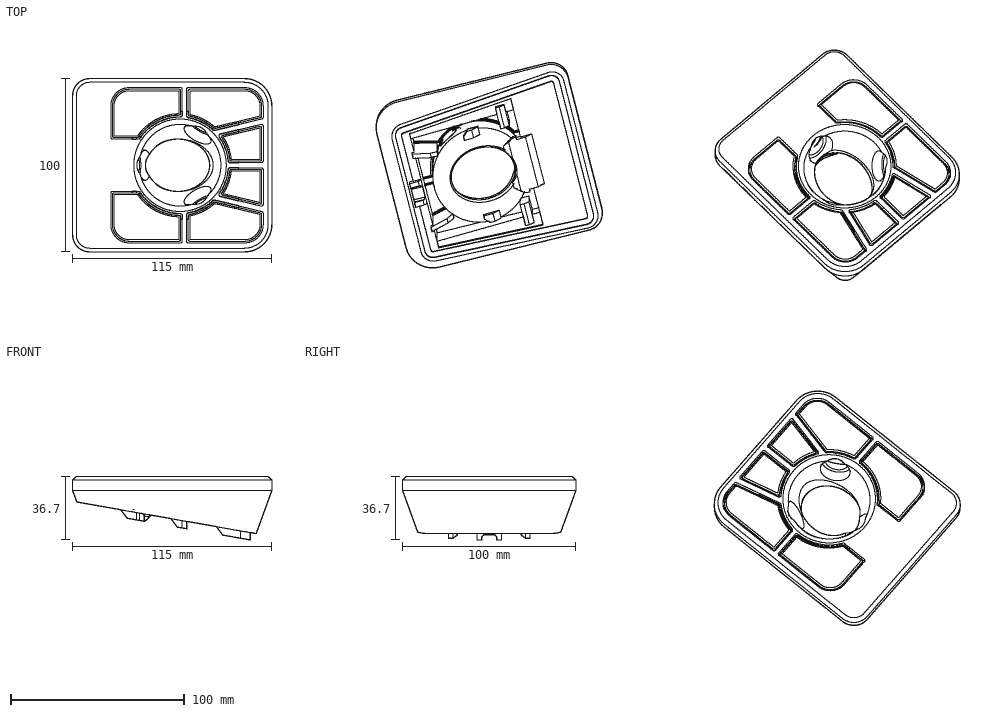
import cadquery as cq
import math

LENGTH = 115.0
WIDTH = 100.0
HEIGHT = 36.7
LEFT_CORNER_R = 10.0
RIGHT_CORNER_R = 16.0
TOP_CHAMFER = 2.2
BAND_DEPTH = 8.0
DRAFT = 20.0
DRAFTED_HEIGHT = 25.9
UNDERSIDE_ANGLE = 10.0
UNDERSIDE_MID_Z = -24.5
SLOPE = math.tan(math.radians(UNDERSIDE_ANGLE))

SKIN = 3.5
CAVITY_X0 = -23.0
CAVITY_X1 = 38.1
CAVITY_WIDTH = 62.1
LEDGE_LEFT_WIDTH = 76.6
LEDGE_RIGHT_WIDTH = 69.0
LEDGE_DEPTH = 2.8
FLANK_RIB_X0 = -18.4
FLANK_RIB_X1 = -13.2
FLANK_RIB_LEAD = 2.9
FLANK_RIB_Y0 = 23.0
FLANK_RIB_Y1 = 35.6
FLANK_RIB_BOTTOM = -23.0

RIM_LEFT_X = -54.5
RIM_RIGHT_X = 48.3
RIM_LEFT_WIDTH = 95.0
RIM_RIGHT_WIDTH = 81.9
GROOVE_INSET = 2.1
GROOVE_WIDTH = 3.5
GROOVE_DEPTH = 1.5
GROOVE_CORNER_R = 6.9

BOWL_X = 4.5
BOSS_R = 27.5
BOWL_RIM_R = 26.7
BOWL_RIM_DEPTH = 2.3
BOWL_R = 23.7
BOWL_MOUTH_R = math.sqrt(BOWL_R**2 - BOWL_RIM_DEPTH**2)
OPENING_X = 2.5
OPENING_HALF_LENGTH = 18.9
OPENING_HALF_WIDTH = 15.1
OPENING_RISE = 15.0
OPENING_DROP = 6.9
OPENING_FLARE = 1.2
OPENING_FLARE_DEPTH = 2.3
BORE_D = 12.9
COUNTERBORE_D = 17.4
BORE_ORIGIN_Z = -1.7
BORE_TILT = 19.5
COUNTERBORE_REACH = 27.0
BORE_REACH = 33.4
BORE_ANGLES = (60, 180, 300)

SLIT_WIDTH = 0.9
SLIT_DEPTH = 4.0
PAD_BEVEL = 0.9
PAD_CORNER_R = 0.98
PAD_BIG_R = 10.6
PAD_ARC_R = 28.0
PAD_Y_MAX = 44.7
BACK_PAD_X0 = -35.4
BACK_PAD_X1 = 5.8
BACK_PAD_Y0 = 15.1
FRONT_PAD_X0 = 8.3
FRONT_PAD_X1 = 52.4
CENTRE_BAR_HALF = 1.5
SPOKE_ANGLE = 13.5
SPOKE_Y = 12.8
SPOKE_WIDTH = 3.0

HOOK_DEPTH = 4.3
HOOK_ROOT = 2.3
HOOK_LEAD = 3.7
TONGUE_X0 = -29.7
TONGUE_X1 = -15.9
TONGUE_TAIL_X0 = -20.7
TONGUE_TAIL_X1 = -12.2
TONGUE_HALF = 15.1
TONGUE_TAIL_HALF = 16.6
TONGUE_TAPER_X = -18.7
TONGUE_END_HALF = 12.6
BOSS_HOOK_X0 = -0.8
BOSS_HOOK_X1 = 8.4
BOSS_HOOK_Y0 = 22.9
BOSS_HOOK_Y1 = 27.6
BOSS_HOOK_CHAMFER = 2.8
SPOKE_HOOK_X0 = 25.4
SPOKE_HOOK_X1 = 39.3
SPOKE_HOOK_WIDTH = 2.5
FORK_X0 = 38.1
FORK_LEAD = 1.7
FORK_LEAD_Z = -33.5
FORK_X1 = 45.0
FORK_HALF = 7.1
FORK_LEG = 2.9
FORK_WEB_BOTTOM = -33.7
FORK_GAP_CHAMFER = 1.2

FAR = 230.0


def underside_z(x):
    return UNDERSIDE_MID_Z - SLOPE * x


def box(x0, x1, y0, y1, z0, z1):
    return cq.Workplane("XY").box(x1 - x0, y1 - y0, z1 - z0, centered=False).translate((x0, y0, z0))


def prism_xz(points, y0, y1):
    """Extrude an X-Z outline from y0 to y1."""
    return cq.Workplane("XZ", origin=(0, y0, 0)).polyline(points).close().extrude(y0 - y1)


def trapezoid(x0, x1, width0, width1):
    """Plan outline symmetric about the X axis, width0 wide at x0 and width1 at x1."""
    corners = [(x0, -width0 / 2), (x1, -width1 / 2), (x1, width1 / 2), (x0, width0 / 2)]
    return cq.Workplane("XY").polyline(corners).close()


def both_sides(solid):
    """A solid together with its mirror image across the X-Z plane."""
    return solid.union(solid.mirror("XZ"))


def below_underside(rise=0.0):
    """Everything below the underside plane raised by `rise`."""
    points = [
        (-FAR, underside_z(-FAR) + rise),
        (FAR, underside_z(FAR) + rise),
        (FAR, -2 * FAR),
        (-FAR, -2 * FAR),
    ]
    return prism_xz(points, -FAR, FAR)


def bowl_cylinder(radius, depth):
    return cq.Workplane("XY").center(BOWL_X, 0).circle(radius).extrude(-depth)


def make_body():
    band = cq.Workplane("XY").rect(LENGTH, WIDTH).extrude(-BAND_DEPTH)
    band = band.edges("|Z and <X").fillet(LEFT_CORNER_R)
    band = band.edges("|Z and >X").fillet(RIGHT_CORNER_R)
    drafted = band.faces("<Z").wires().toPending().workplane().extrude(
        DRAFTED_HEIGHT, taper=DRAFT, combine=False
    )
    band = band.faces(">Z").chamfer(TOP_CHAMFER)
    return band.union(drafted).cut(below_underside())


def make_cavity():
    """Deep pocket up to the top skin, with a wider shallow ledge; the boss stays solid."""
    half = CAVITY_WIDTH / 2
    deep = box(CAVITY_X0, CAVITY_X1, -half, half, -FAR, -SKIN)
    ledge = trapezoid(CAVITY_X0, CAVITY_X1, LEDGE_LEFT_WIDTH, LEDGE_RIGHT_WIDTH).extrude(-FAR)
    ledge = ledge.intersect(below_underside(LEDGE_DEPTH))
    return deep.union(ledge).cut(bowl_cylinder(BOSS_R, FAR))


def make_rim_groove():
    def inset(distance):
        plan = trapezoid(RIM_LEFT_X, RIM_RIGHT_X, RIM_LEFT_WIDTH, RIM_RIGHT_WIDTH).offset2D(-distance)
        return plan.extrude(-FAR).edges("|Z").fillet(GROOVE_CORNER_R - distance)

    ring = inset(GROOVE_INSET).cut(inset(GROOVE_INSET + GROOVE_WIDTH))
    return ring.intersect(below_underside(GROOVE_DEPTH))


def make_bowl():
    """Conical rim, spherical bowl and the elliptical opening square to the underside."""
    rim = (
        cq.Workplane("XY").center(BOWL_X, 0).circle(BOWL_RIM_R)
        .workplane(offset=-BOWL_RIM_DEPTH).circle(BOWL_MOUTH_R).loft()
    )
    sphere = cq.Workplane("XY").sphere(BOWL_R).translate((BOWL_X, 0, 0))
    sphere = sphere.intersect(box(-FAR, FAR, -FAR, FAR, -FAR, -BOWL_RIM_DEPTH))
    tilt = math.radians(UNDERSIDE_ANGLE)
    underside = cq.Plane(
        origin=(OPENING_X, 0, underside_z(OPENING_X)),
        xDir=(math.cos(tilt), 0, -math.sin(tilt)),
        normal=(math.sin(tilt), 0, math.cos(tilt)),
    )
    opening = (
        cq.Workplane(underside).workplane(offset=-OPENING_DROP)
        .ellipse(OPENING_HALF_LENGTH, OPENING_HALF_WIDTH).extrude(OPENING_DROP + OPENING_RISE)
    )
    flare = (
        cq.Workplane(underside)
        .ellipse(OPENING_HALF_LENGTH + OPENING_FLARE, OPENING_HALF_WIDTH + OPENING_FLARE)
        .workplane(offset=OPENING_FLARE_DEPTH)
        .ellipse(OPENING_HALF_LENGTH, OPENING_HALF_WIDTH).loft()
    )
    return rim.union(sphere).union(opening).union(flare)


def make_bores():
    tilt = math.radians(BORE_TILT)
    bores = cq.Workplane("XY")
    for angle in BORE_ANGLES:
        turn = math.radians(angle)
        direction = (
            math.cos(tilt) * math.cos(turn),
            math.cos(tilt) * math.sin(turn),
            -math.sin(tilt),
        )
        axis = cq.Plane(origin=(BOWL_X, 0, BORE_ORIGIN_Z), normal=direction)
        bores = bores.union(cq.Workplane(axis).circle(COUNTERBORE_D / 2).extrude(COUNTERBORE_REACH))
        bores = bores.union(cq.Workplane(axis).circle(BORE_D / 2).extrude(BORE_REACH))
    return bores


def spoke(width, x0, x1, z0, z1):
    """Bar of the given width along the slanted centreline between the front pads."""
    bar = box(-FAR, FAR, -width / 2, width / 2, z0, z1)
    bar = bar.rotate((0, 0, 0), (0, 0, 1), SPOKE_ANGLE).translate((0, SPOKE_Y, 0))
    return bar.intersect(box(x0, x1, -FAR, FAR, z0, z1))


def rounded(pad, big_corner, big_radius):
    """Round a pad's upright edges; one corner may take a larger radius."""
    if not big_corner:
        return pad.edges("|Z").fillet(PAD_CORNER_R)
    pad = pad.edges(f"|Z and (not ({big_corner}))").fillet(PAD_CORNER_R)
    return pad.edges(big_corner).fillet(big_radius)


def slit_around(pad, big_corner=None):
    """Slit between a pad-shaped pocket and the bevelled pad standing in it."""
    outline = pad.faces(">Z").wires().val()
    island = cq.Workplane("XY").add(outline.offset2D(-SLIT_WIDTH)).toPending().extrude(-SLIT_DEPTH)
    island = rounded(island, big_corner, PAD_BIG_R - SLIT_WIDTH).faces(">Z").chamfer(PAD_BEVEL)
    return rounded(pad, big_corner, PAD_BIG_R).cut(island)


def make_slits():
    around_bowl = bowl_cylinder(PAD_ARC_R, SLIT_DEPTH)
    back = box(BACK_PAD_X0, BACK_PAD_X1, BACK_PAD_Y0, PAD_Y_MAX, -SLIT_DEPTH, 0)
    back = back.cut(around_bowl)
    front = box(FRONT_PAD_X0, FRONT_PAD_X1, CENTRE_BAR_HALF, PAD_Y_MAX, -SLIT_DEPTH, 0)
    front = front.cut(spoke(SPOKE_WIDTH, -FAR, FAR, -SLIT_DEPTH, 0)).cut(around_bowl)
    corner_pad = front.solids(">Y")
    side_pad = front.solids("<Y")
    slits = slit_around(back, "|Z and <X and >Y")
    slits = slits.union(slit_around(corner_pad, "|Z and >X and >Y"))
    slits = slits.union(slit_around(side_pad))
    return both_sides(slits)


def hook_profile(x0, x1, root):
    """X-Z outline with a sloped leading face, a bottom parallel to the underside and a root above it."""
    return [
        (x0, underside_z(x0) + root),
        (x0, underside_z(x0)),
        (x0 + HOOK_LEAD, underside_z(x0 + HOOK_LEAD) - HOOK_DEPTH),
        (x1, underside_z(x1) - HOOK_DEPTH),
        (x1, underside_z(x1) + root),
    ]


def make_tongue():
    tongue = prism_xz(hook_profile(TONGUE_X0, TONGUE_X1, HOOK_ROOT), -TONGUE_HALF, TONGUE_HALF)
    tail = [
        (TONGUE_TAIL_X0, underside_z(TONGUE_TAIL_X0)),
        (TONGUE_TAIL_X0, underside_z(TONGUE_TAIL_X0) - HOOK_DEPTH),
        (TONGUE_X1, underside_z(TONGUE_X1) - HOOK_DEPTH),
        (TONGUE_TAIL_X1, underside_z(TONGUE_TAIL_X1)),
    ]
    tail = prism_xz(tail, -TONGUE_TAIL_HALF, TONGUE_TAIL_HALF)
    straight = box(TONGUE_TAIL_X0, TONGUE_TAPER_X, -TONGUE_TAIL_HALF, TONGUE_TAIL_HALF, -HEIGHT, 0)
    taper = trapezoid(TONGUE_TAPER_X, TONGUE_TAIL_X1, 2 * TONGUE_TAIL_HALF, 2 * TONGUE_END_HALF)
    return tongue.union(tail.intersect(straight.union(taper.extrude(-HEIGHT))))


def make_flank_ribs():
    """Ribs hanging from the skin beside the boss, with a sloped leading face."""
    profile = [
        (FLANK_RIB_X0, -SKIN),
        (FLANK_RIB_X0, underside_z(CAVITY_X0)),
        (FLANK_RIB_X0 + FLANK_RIB_LEAD, FLANK_RIB_BOTTOM),
        (FLANK_RIB_X1, FLANK_RIB_BOTTOM),
        (FLANK_RIB_X1, -SKIN),
    ]
    rib = prism_xz(profile, FLANK_RIB_Y0, FLANK_RIB_Y1)
    return both_sides(rib)


def make_boss_hooks():
    hook = prism_xz(hook_profile(BOSS_HOOK_X0, BOSS_HOOK_X1, HOOK_ROOT), BOSS_HOOK_Y0, BOSS_HOOK_Y1)
    hook = hook.edges("|Z and >X and >Y").chamfer(BOSS_HOOK_CHAMFER)
    return both_sides(hook)


def make_spoke_hooks():
    """Ribs under the slanted bars, ending in hooks."""
    bar = spoke(SPOKE_HOOK_WIDTH, SPOKE_HOOK_X0, SPOKE_HOOK_X1, -HEIGHT, -SKIN)
    profile = hook_profile(SPOKE_HOOK_X0, SPOKE_HOOK_X1, FAR)
    return both_sides(bar.intersect(prism_xz(profile, 0, FAR)))


def make_fork():
    """Two legs joined by a short web."""
    profile = [
        (FORK_X0, underside_z(FORK_X0) + HOOK_ROOT),
        (FORK_X0, FORK_LEAD_Z),
        (FORK_X0 + FORK_LEAD, underside_z(FORK_X0 + FORK_LEAD) - HOOK_DEPTH),
        (FORK_X1, -HEIGHT),
        (FORK_X1, underside_z(FORK_X1) + HOOK_ROOT),
    ]
    fork = prism_xz(profile, -FORK_HALF, FORK_HALF)
    gap_half = FORK_HALF - FORK_LEG
    gap = box(FORK_X0, FORK_X1, -gap_half, gap_half, -FAR, FORK_WEB_BOTTOM)
    return fork.cut(gap.edges("|X and >Z").chamfer(FORK_GAP_CHAMFER))


result = (
    make_body()
    .cut(make_rim_groove())
    .cut(make_cavity())
    .union(make_flank_ribs())
    .union(make_boss_hooks())
    .union(make_spoke_hooks())
    .union(make_tongue())
    .union(make_fork())
    .cut(make_bowl())
    .cut(make_bores())
    .cut(make_slits())
)